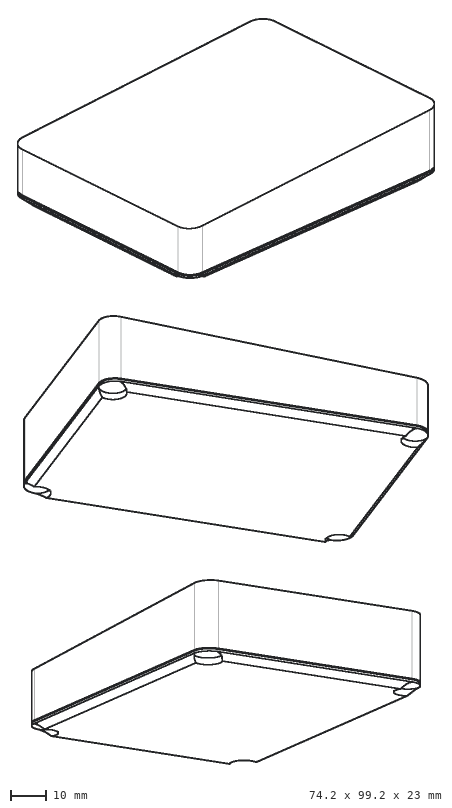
import cadquery as cq

width = 74.2
length = 99.2
corner_radius = 5.0

base_thickness = 3.0
underside_chamfer = 2.0
seam_bevel = 0.3

recess_diameter = 8.0
recess_depth = underside_chamfer
recess_edge_distance = 4.0

front_height = 18.0
back_height = 23.0


def rounded_block(bottom, top):
    """Upright block of the overall outline with rounded vertical edges."""
    return (
        cq.Workplane("XY", origin=(0, 0, bottom))
        .rect(width, length)
        .extrude(top - bottom)
        .edges("|Z")
        .fillet(corner_radius)
    )


def make_recesses():
    """Cylinders that fill the four corner recesses."""
    recess_spacing_x = width - 2 * recess_edge_distance
    recess_spacing_y = length - 2 * recess_edge_distance
    return (
        cq.Workplane("XY")
        .rect(recess_spacing_x, recess_spacing_y, forConstruction=True)
        .vertices()
        .circle(recess_diameter / 2)
        .extrude(recess_depth)
    )


def make_base():
    """Base plate with both rims bevelled and a recess at each corner of the underside."""
    plate = rounded_block(0, base_thickness)
    plate = plate.faces("<Z").edges().chamfer(underside_chamfer)
    plate = plate.faces(">Z").edges().chamfer(seam_bevel)
    return plate.cut(make_recesses())


def make_housing():
    """Wedge-shaped housing: a rounded block cut to a side profile with a sloping top."""
    block = rounded_block(base_thickness, back_height)
    front = -length / 2
    back = length / 2
    wedge = (
        cq.Workplane("YZ")
        .moveTo(front, base_thickness)
        .lineTo(back, base_thickness)
        .lineTo(back, back_height)
        .lineTo(front, front_height)
        .close()
        .extrude(width / 2, both=True)
    )
    return block.intersect(wedge)


base = make_base()
housing = make_housing()

result = cq.Compound.makeCompound([base.solids().val(), housing.solids().val()])